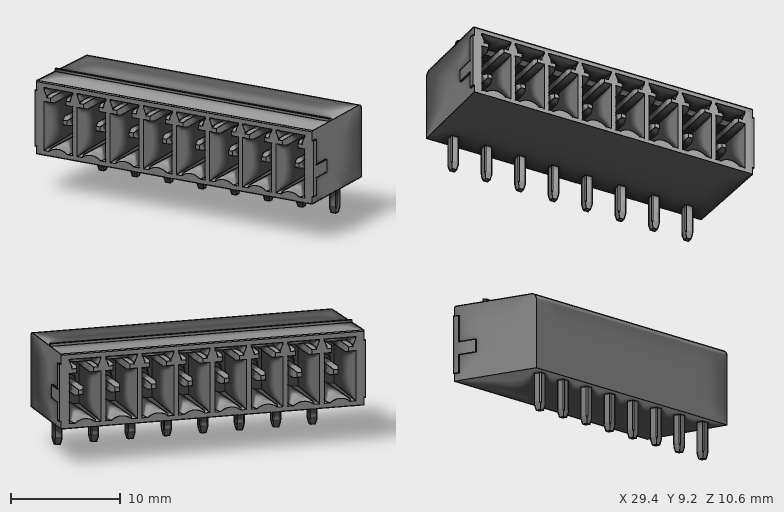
import cadquery as cq

POLES = 8
PITCH = 3.5
CONTACT_Z = 3.0

DEPTH = 9.2
HEIGHT = 7.0
OVERALL_WIDTH = 29.4
FRONT_WIDTH = 29.1
BACK_WIDTH = 28.72
TOP_BACK_RADIUS = 0.53
FRONT_CHAMFER_DEPTH = 0.15
FRONT_CHAMFER_DROP = 0.1

RIB_FRONT = 3.2
RIB_WIDTH = 0.38
RIB_HEIGHT = 0.24
RIB_BACK_RADIUS = 0.15

PAD_BOTTOM = 0.7
PAD_TOP = 6.05
PAD_DEPTH = 0.55
PAD_ARM_DEPTH = 2.5
PAD_ARM_HEIGHT = 1.2

CAVITY_WIDTH = 3.03
CAVITY_DEPTH = 6.17
FLOOR_FRONT = 0.45
FLOOR_BACK = 0.7
LIP_BOTTOM = 5.0
LIP_TOP = 5.7
SLOT_WIDTH = 1.32
GROOVE_TOP = 6.32
GROOVE_FLOOR_WIDTH = 2.5
GROOVE_DEPTH = 2.0

LEAD_IN_DEPTH = 0.53
LEAD_IN_RISE = 0.15

SADDLE_AXIS_Z = -0.7
SADDLE_RADIUS = 1.68
SADDLE_ENTRY_RADIUS = 1.5
SADDLE_ENTRY_DEPTH = 0.65

COLLAR_BASE_RADIUS = 1.15
COLLAR_TOP_RADIUS = 0.82
COLLAR_HEIGHT = 1.05

PIN_SIZE = 0.8
PIN_FRONT = 1.2
PIN_TIP_LENGTH = 0.65
PIN_TIP_SIZE = 0.45
POST_Y = 8.0
POST_LENGTH = 3.4
POST_EDGE_CHAMFER = 0.103
POST_TIP_LENGTH = 0.7
POST_TIP_SIZE = 0.47

pole_positions = [(i - (POLES - 1) / 2) * PITCH for i in range(POLES)]


def plane_facing_back(y, z=0):
    """Workplane at depth y whose local axes are -X and Z and whose normal is +Y."""
    return cq.Workplane(cq.Plane(origin=(0, y, z), xDir=(-1, 0, 0), normal=(0, 1, 0)))


def frustum_along_y(z, y, length, start_radius, end_radius):
    """Cone frustum on the plane X = 0, starting at depth y and running toward +Y."""
    return cq.Workplane(
        cq.Solid.makeCone(start_radius, end_radius, length, cq.Vector(0, y, z), cq.Vector(0, 1, 0))
    )


def wedge_across(width, corners):
    """Triangular prism across X, centred on X = 0, from its (y, z) corners."""
    return cq.Workplane("YZ").polyline(corners).close().extrude(width / 2, both=True)


def tapered_block(front_width):
    """Block as deep and high as the housing, with the taper of its side walls."""
    back_width = front_width - FRONT_WIDTH + BACK_WIDTH
    return (
        cq.Workplane("XY")
        .polyline([
            (-front_width / 2, 0),
            (front_width / 2, 0),
            (back_width / 2, DEPTH),
            (-back_width / 2, DEPTH),
        ])
        .close()
        .extrude(HEIGHT)
    )


def make_shell():
    """Tapered housing block with its rounded back edge and chamfered front edge."""
    block = tapered_block(FRONT_WIDTH).edges(">Y and >Z").fillet(TOP_BACK_RADIUS)
    front_chamfer = wedge_across(
        FRONT_WIDTH, [(0, HEIGHT), (FRONT_CHAMFER_DEPTH, HEIGHT), (0, HEIGHT - FRONT_CHAMFER_DROP)]
    )
    return block.cut(front_chamfer)


def make_rib():
    """Rib along the top, as wide as the housing is at the back of the rib."""
    back = RIB_FRONT + RIB_WIDTH
    length = FRONT_WIDTH - (FRONT_WIDTH - BACK_WIDTH) * back / DEPTH
    rib = cq.Workplane("XY").box(length, RIB_WIDTH, RIB_HEIGHT, centered=(True, False, False))
    rib = rib.edges(">Y and >Z").fillet(RIB_BACK_RADIUS)
    return rib.translate((0, RIB_FRONT, HEIGHT))


def make_side_pads():
    """T-shaped pads parallel to the side walls, made as one bar across the housing."""
    upright = cq.Workplane("XY").box(
        OVERALL_WIDTH, PAD_DEPTH, PAD_TOP - PAD_BOTTOM, centered=(True, False, False)
    )
    arm = cq.Workplane("XY").box(
        OVERALL_WIDTH, PAD_ARM_DEPTH, PAD_ARM_HEIGHT, centered=(True, False, True)
    )
    bar = upright.translate((0, 0, PAD_BOTTOM)).union(arm.translate((0, 0, CONTACT_Z)))
    return bar.intersect(tapered_block(OVERALL_WIDTH))


def lead_in(width, edge_z, rise):
    """Wedge that opens a horizontal edge at the cavity mouth by the given rise."""
    return wedge_across(width, [(0, edge_z), (0, edge_z + rise), (LEAD_IN_DEPTH, edge_z)])


def make_chamber():
    """Main space of a cavity, with its sloped floor and the lead-in under the lip."""
    chamber = cq.Workplane("XY").box(
        CAVITY_WIDTH, CAVITY_DEPTH, LIP_BOTTOM - FLOOR_FRONT, centered=(True, False, False)
    ).translate((0, 0, FLOOR_FRONT))
    floor = wedge_across(
        CAVITY_WIDTH, [(0, FLOOR_FRONT), (CAVITY_DEPTH, FLOOR_FRONT), (CAVITY_DEPTH, FLOOR_BACK)]
    )
    return chamber.cut(floor).union(lead_in(CAVITY_WIDTH, LIP_BOTTOM, LEAD_IN_RISE))


def make_slot():
    """Slot through the lip, flared at the cavity mouth."""
    half = SLOT_WIDTH / 2
    mouth = half + LEAD_IN_RISE
    return (
        cq.Workplane("XY")
        .workplane(offset=LIP_BOTTOM)
        .polyline([
            (-mouth, 0),
            (mouth, 0),
            (half, LEAD_IN_DEPTH),
            (half, CAVITY_DEPTH),
            (-half, CAVITY_DEPTH),
            (-half, LEAD_IN_DEPTH),
        ])
        .close()
        .extrude(LIP_TOP - LIP_BOTTOM)
    )


def make_groove():
    """Dovetail groove above the lip, with lead-ins along its floor and ceiling."""
    groove = (
        plane_facing_back(0)
        .polyline([
            (-GROOVE_FLOOR_WIDTH / 2, LIP_TOP),
            (GROOVE_FLOOR_WIDTH / 2, LIP_TOP),
            (CAVITY_WIDTH / 2, GROOVE_TOP),
            (-CAVITY_WIDTH / 2, GROOVE_TOP),
        ])
        .close()
        .extrude(GROOVE_DEPTH)
    )
    ceiling = lead_in(CAVITY_WIDTH, GROOVE_TOP, LEAD_IN_RISE)
    return groove.union(ceiling).union(lead_in(GROOVE_FLOOR_WIDTH, LIP_TOP, -LEAD_IN_RISE))


def make_saddle():
    """Arch along the cavity floor, tapered at the mouth."""
    entry = frustum_along_y(
        SADDLE_AXIS_Z, 0, SADDLE_ENTRY_DEPTH, SADDLE_ENTRY_RADIUS, SADDLE_RADIUS
    )
    arch = (
        plane_facing_back(SADDLE_ENTRY_DEPTH, SADDLE_AXIS_Z)
        .circle(SADDLE_RADIUS)
        .extrude(CAVITY_DEPTH - SADDLE_ENTRY_DEPTH)
    )
    return entry.union(arch)


def make_cavity():
    """Space removed for one plug, less the saddle and collar that stay in it."""
    collar = frustum_along_y(
        CONTACT_Z, CAVITY_DEPTH - COLLAR_HEIGHT, COLLAR_HEIGHT, COLLAR_TOP_RADIUS, COLLAR_BASE_RADIUS
    )
    space = make_chamber().union(make_slot()).union(make_groove())
    return space.cut(make_saddle()).cut(collar)


def make_pin():
    """Square contact running back along Y, bent down into a solder post."""
    half = PIN_SIZE / 2
    tip = (
        plane_facing_back(PIN_FRONT, CONTACT_Z)
        .rect(PIN_TIP_SIZE, PIN_TIP_SIZE)
        .workplane(offset=PIN_TIP_LENGTH)
        .rect(PIN_SIZE, PIN_SIZE)
        .loft(ruled=True)
    )
    bar_start = PIN_FRONT + PIN_TIP_LENGTH
    bar = plane_facing_back(bar_start, CONTACT_Z).rect(PIN_SIZE, PIN_SIZE).extrude(POST_Y + half - bar_start)
    post = (
        cq.Workplane("XY")
        .workplane(offset=POST_TIP_LENGTH - POST_LENGTH)
        .rect(PIN_SIZE, PIN_SIZE)
        .extrude(POST_LENGTH - POST_TIP_LENGTH + CONTACT_Z)
    )
    post_tip = (
        cq.Workplane("XY")
        .workplane(offset=-POST_LENGTH)
        .rect(POST_TIP_SIZE, POST_TIP_SIZE)
        .workplane(offset=POST_TIP_LENGTH)
        .rect(PIN_SIZE, PIN_SIZE)
        .loft(ruled=True)
    )
    chamfered_stock = (
        cq.Workplane("XY")
        .workplane(offset=-POST_LENGTH)
        .rect(PIN_SIZE, PIN_SIZE)
        .extrude(POST_LENGTH + CONTACT_Z)
        .edges("|Z")
        .chamfer(POST_EDGE_CHAMFER)
    )
    solder_post = post.union(post_tip).intersect(chamfered_stock).translate((0, POST_Y, 0))
    return tip.union(bar).union(solder_post)


cavity = make_cavity()
pin = make_pin()

housing = make_shell().union(make_rib()).union(make_side_pads())
for x in pole_positions:
    housing = housing.cut(cavity.translate((x, 0, 0))).cut(pin.translate((x, 0, 0)))

pins = [pin.translate((x, 0, 0)).val() for x in pole_positions]

result = cq.Compound.makeCompound([housing.val(), *pins])